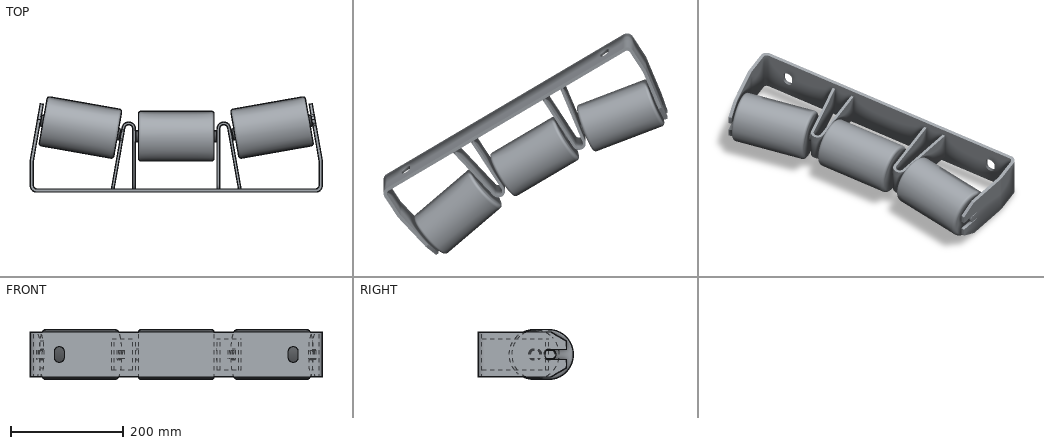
import cadquery as cq
import math


tilt_angle = 10.0

frame_length = 520.0
strip_width = 80.0
strip_thickness = 6.0
bend_outer_radius = 12.0
bend_inner_radius = bend_outer_radius - strip_thickness
knee_height = 55.3
lean_length = 101.7
tip_chamfer_length = 28.0
tip_chamfer_width = 16.0
axle_slot_width = 17.0

mount_slot_spacing = 416.0
mount_slot_length = 28.0
mount_slot_width = 18.0

roller_diameter = 89.0
roller_length = 135.0
roller_edge_radius = 5.0
axle_diameter = 20.0
axle_shoulder_length = 142.5
axle_flat_width = 14.0
centre_axis_height = 99.75
outer_axis_height = 115.06

bracket_width = 55.0
bracket_thickness = 5.0
bracket_spacing = 145.0
fold_top = 125.0
fold_outer_radius = 12.0
fold_inner_radius = fold_outer_radius - bracket_thickness

half_length = frame_length / 2
tilt = math.radians(tilt_angle)

corner_centre = (half_length - bend_outer_radius, bend_outer_radius)
knee_centre = (corner_centre[0], knee_height)
fold_centre = (bracket_spacing / 2 + fold_outer_radius, fold_top - fold_outer_radius)


def along_lean(point):
    """Distance of a point up the leaning supports, from the origin."""
    return point[1] * math.cos(tilt) - point[0] * math.sin(tilt)


def across_lean(point):
    """Distance of a point square to the leaning supports, from the origin."""
    return point[0] * math.cos(tilt) + point[1] * math.sin(tilt)


centre_axle_length = bracket_spacing + 2 * bracket_thickness
outer_axle_start = across_lean(fold_centre) + fold_inner_radius
outer_axle_end = across_lean(knee_centre) + bend_outer_radius
outer_axle_length = outer_axle_end - outer_axle_start
outer_axis_offset = (outer_axle_start + outer_axle_end) / 2
outer_axis_x = (outer_axis_offset - outer_axis_height * math.sin(tilt)) / math.cos(tilt)
outer_axis_centre = (outer_axis_x, outer_axis_height)
tip_reach = along_lean(knee_centre) + lean_length - along_lean(outer_axis_centre)


def on_arc(centre, radius, angle):
    return (centre[0] + radius * math.cos(angle), centre[1] + radius * math.sin(angle))


def add_arc(outline, centre, radius, start, end):
    """Draw to the start of an arc, then round it to its end."""
    return outline.lineTo(*on_arc(centre, radius, start)).threePointArc(
        on_arc(centre, radius, (start + end) / 2), on_arc(centre, radius, end)
    )


def extrude_centred(outline, width):
    return outline.close().extrude(width).translate((0, 0, -width / 2))


def both_sides(body):
    return body.union(body.mirror("YZ"))


def onto_outer_axis(body):
    """Move a body from the X axis at the origin onto the right-hand roller's axis."""
    return body.rotate((0, 0, 0), (0, 0, 1), tilt_angle).translate((*outer_axis_centre, 0))


def make_axle(axle_length):
    def round_bar(length):
        return cq.Workplane("YZ", origin=(-length / 2, 0, 0)).circle(axle_diameter / 2).extrude(length)

    flats = cq.Workplane("XY").box(axle_length, axle_diameter, axle_flat_width)
    return round_bar(axle_shoulder_length).union(round_bar(axle_length).intersect(flats))


def make_roller(axle_length):
    drum = (
        cq.Workplane("YZ", origin=(-roller_length / 2, 0, 0))
        .circle(roller_diameter / 2)
        .extrude(roller_length)
        .faces("|X")
        .edges()
        .fillet(roller_edge_radius)
    )
    return drum.union(make_axle(axle_length))


def make_axle_slot():
    cut_start = axle_shoulder_length / 2
    cut_depth = 2 * strip_thickness
    workplane = cq.Workplane("YZ", origin=(cut_start, 0, 0))
    seat = workplane.circle(axle_diameter / 2).extrude(cut_depth)
    channel = workplane.rect(axle_diameter, axle_slot_width).extrude(cut_depth)
    mouth = workplane.center(tip_reach / 2, 0).rect(tip_reach, axle_slot_width).extrude(cut_depth)
    return onto_outer_axis(seat.intersect(channel).union(mouth))


def make_tip_chamfer():
    edge = strip_width / 2
    triangle = [
        (tip_reach, edge),
        (tip_reach - tip_chamfer_length, edge),
        (tip_reach, edge - tip_chamfer_width),
    ]
    workplane = cq.Workplane("YZ", origin=(axle_shoulder_length / 2, 0, 0))
    return onto_outer_axis(workplane.polyline(triangle).close().extrude(2 * strip_thickness))


def make_strip_half():
    def tip_corner(radius):
        knee_end = on_arc(knee_centre, radius, tilt)
        return on_arc(knee_end, lean_length, tilt + math.pi / 2)

    outline = cq.Workplane("XY").moveTo(0, 0)
    outline = add_arc(outline, corner_centre, bend_outer_radius, -math.pi / 2, 0)
    outline = add_arc(outline, knee_centre, bend_outer_radius, 0, tilt)
    outline = outline.lineTo(*tip_corner(bend_outer_radius)).lineTo(*tip_corner(bend_inner_radius))
    outline = add_arc(outline, knee_centre, bend_inner_radius, tilt, 0)
    outline = add_arc(outline, corner_centre, bend_inner_radius, 0, -math.pi / 2)
    outline = outline.lineTo(0, strip_thickness)

    chamfer = make_tip_chamfer()
    strip = extrude_centred(outline, strip_width)
    return strip.cut(chamfer).cut(chamfer.mirror("XY")).cut(make_axle_slot())


def make_bracket():
    def square_foot(radius):
        return (fold_centre[0] - radius, strip_thickness)

    def lean_foot(radius):
        rise = fold_centre[1] - strip_thickness
        return (fold_centre[0] + radius / math.cos(tilt) + rise * math.tan(tilt), strip_thickness)

    outline = cq.Workplane("XY").moveTo(*square_foot(fold_outer_radius))
    outline = add_arc(outline, fold_centre, fold_outer_radius, math.pi, tilt)
    outline = outline.lineTo(*lean_foot(fold_outer_radius)).lineTo(*lean_foot(fold_inner_radius))
    outline = add_arc(outline, fold_centre, fold_inner_radius, tilt, math.pi)
    outline = outline.lineTo(*square_foot(fold_inner_radius))
    return extrude_centred(outline, bracket_width).cut(onto_outer_axis(make_axle(outer_axle_length)))


def make_mount_slots():
    return (
        cq.Workplane("XZ")
        .pushPoints([(-mount_slot_spacing / 2, 0), (mount_slot_spacing / 2, 0)])
        .slot2D(mount_slot_length, mount_slot_width, 90)
        .extrude(-strip_thickness)
    )


def make_frame():
    strip = both_sides(make_strip_half()).cut(make_mount_slots())
    brackets = both_sides(make_bracket())
    centre_roller = make_roller(centre_axle_length).translate((0, centre_axis_height, 0))
    return strip.union(brackets).union(centre_roller)


def make_outer_rollers():
    right_roller = onto_outer_axis(make_roller(outer_axle_length))
    return [right_roller, right_roller.mirror("YZ")]


frame = make_frame()
outer_rollers = make_outer_rollers()
bodies = [frame, *outer_rollers]
result = cq.Compound.makeCompound([body.solids().val() for body in bodies])